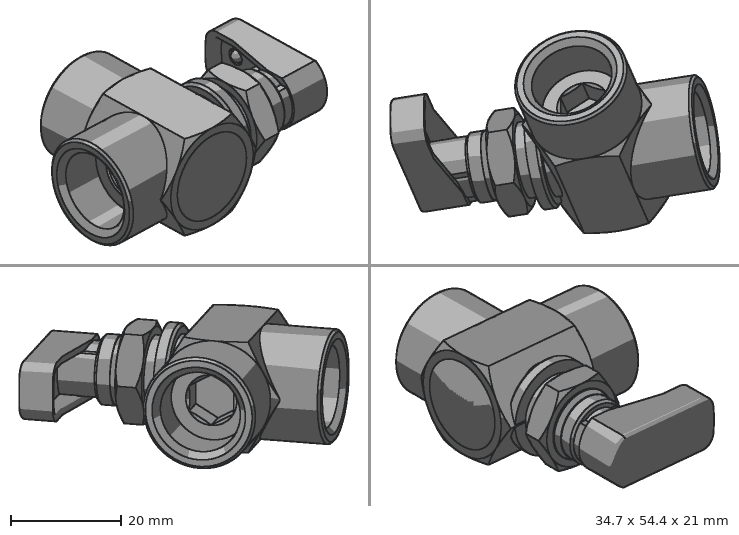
import cadquery as cq
import math


BLOCK_FLATS = 21.0
BLOCK_RADIUS = BLOCK_FLATS / 2
BLOCK_LEFT = -11.35
BLOCK_RIGHT = 11.55
CHAMFER_SLOPE = math.tan(math.radians(30))

SIDE_PORT_REACH = 22.5
FRONT_PORT_REACH = 19.55
PORT_EDGE_CHAMFER = 0.5
PORT_BORE_RADIUS = 7.5
PORT_MOUTH_RADIUS = 8.75
PORT_MOUTH_DEPTH = 1.1
PORT_DEPTH = 8.75
FRONT_HOLE_RADIUS = 4.55
FRONT_HOLE_CHAMFER = 0.3
SOCKET_FLATS = 8.25
SOCKET_DEPTH = 4.8

COLLAR_RADIUS = 7.5
FLANGE_RADIUS = 9.45
FLANGE_TOP = 12.0
FLANGE_BOTTOM = 9.5
FLANGE_CHAMFER = 0.55
NECK_RADIUS = 6.95
NECK_TOP = 21.0
NECK_TAPER_HEIGHT = 1.2
NECK_TIP_RADIUS = 6.3

PLUG_RADIUS = 8.8
PLUG_INNER_END = SOCKET_DEPTH + PORT_DEPTH - SIDE_PORT_REACH
PLUG_DOME_TIP = 12.2

NUT_FLATS = 17.0
NUT_BOTTOM = 14.45
NUT_THICKNESS = 5.0

GLAND_RADIUS = 6.5
GLAND_HEIGHT = 3.0
GLAND_TOP = NECK_TOP + GLAND_HEIGHT
GLAND_CHAMFER = 0.5

WING_RADIUS = 6.05
WING_THICKNESS = 8.15
HUB_RADIUS = 5.1
SHANK_RADIUS = 3.25
SHANK_END = FLANGE_TOP

HANDLE_TOP = 34.85
HANDLE_BOTTOM = 25.95
HANDLE_TIP_BOTTOM = 28.4
SLOPE_START = -0.4
SLOPE_END = -11.85
HANDLE_HALF_WIDTH = 5.55
HANDLE_HEAD_RADIUS = 6.5
HANDLE_TIP = -19.0
HANDLE_TIP_BOW_RADIUS = 26.1
HANDLE_TIP_CORNER = 3.0
HANDLE_TOP_FILLET = 0.8
HANDLE_WALL = 1.65
LIP_FILLET = 0.8
CAVITY_CEILING = 30.95

PIN_X = -13.7
PIN_RADIUS = 1.25
PIN_RECESS_RADIUS = 1.65
PIN_RECESS_DEPTH = 0.55


def turned_x(points):
    """Solid of revolution about X from (x, radius) points."""
    return cq.Workplane("XY").polyline(points).close().revolve(360, (0, 0, 0), (1, 0, 0))


def turned_y(points):
    """Solid of revolution about Y from (radius, y) points."""
    return cq.Workplane("XY").polyline(points).close().revolve(360, (0, 0, 0), (0, 1, 0))


def rod_y(radius, start, end):
    return turned_y([(0, start), (radius, start), (radius, end), (0, end)])


def hexagon(plane, flats):
    """Closed hexagon outline with the given width across flats, corners on the plane's local x."""
    return cq.Workplane(plane).polygon(6, flats / math.cos(math.radians(30)))


def chamfer_envelope(flats, start, end):
    """(station, radius) outline that chamfers both ends of a hexagon down to its flats."""
    inner = flats / 2
    outer = flats / math.sqrt(3)
    run = (outer - inner) * CHAMFER_SLOPE
    return [(start, 0), (start, inner), (start + run, outer), (end - run, outer), (end, inner), (end, 0)]


def swapped(points):
    return [(b, a) for a, b in points]


def port_outline(reach):
    """(station, radius) outline of a port tube from its mouth to the origin."""
    edge = PORT_EDGE_CHAMFER
    return [
        (-reach, 0),
        (-reach, BLOCK_RADIUS - edge),
        (-reach + edge, BLOCK_RADIUS),
        (0, BLOCK_RADIUS),
        (0, 0),
    ]


def port_bore_outline(reach):
    """(station, radius) outline of a port's countersunk bore."""
    return [
        (-reach, 0),
        (-reach, PORT_MOUTH_RADIUS),
        (-reach + PORT_MOUTH_DEPTH, PORT_BORE_RADIUS),
        (-reach + PORT_DEPTH, PORT_BORE_RADIUS),
        (-reach + PORT_DEPTH, 0),
    ]


def make_block():
    bar = hexagon("YZ", BLOCK_FLATS).extrude(BLOCK_RIGHT - BLOCK_LEFT).translate((BLOCK_LEFT, 0, 0))
    return bar.intersect(turned_x(chamfer_envelope(BLOCK_FLATS, BLOCK_LEFT, BLOCK_RIGHT)))


def make_neck():
    return turned_y([
        (0, 0),
        (COLLAR_RADIUS, 0),
        (COLLAR_RADIUS, FLANGE_BOTTOM),
        (FLANGE_RADIUS - FLANGE_CHAMFER, FLANGE_BOTTOM),
        (FLANGE_RADIUS, FLANGE_BOTTOM + FLANGE_CHAMFER),
        (FLANGE_RADIUS, FLANGE_TOP),
        (NECK_RADIUS, FLANGE_TOP),
        (NECK_RADIUS, NECK_TOP - NECK_TAPER_HEIGHT),
        (NECK_TIP_RADIUS, NECK_TOP),
        (0, NECK_TOP),
    ])


def make_socket():
    """Hexagonal hole from the side port's floor to the plug, corners facing +Z and -Z."""
    floor = PORT_DEPTH - SIDE_PORT_REACH
    corner = SOCKET_FLATS / math.sqrt(3)
    hole = hexagon("YZ", SOCKET_FLATS).extrude(SOCKET_DEPTH).rotate((0, 0, 0), (1, 0, 0), 90)
    countersink = turned_x([(floor, 0), (floor, corner), (floor + corner * CHAMFER_SLOPE, 0)])
    return hole.translate((floor, 0, 0)).union(countersink)


def make_front_hole():
    """Chamfered round hole from the front port's floor into the plug bore."""
    floor = PORT_DEPTH - FRONT_PORT_REACH
    return turned_y([
        (0, floor),
        (FRONT_HOLE_RADIUS + FRONT_HOLE_CHAMFER, floor),
        (FRONT_HOLE_RADIUS, floor + FRONT_HOLE_CHAMFER),
        (FRONT_HOLE_RADIUS, 0),
        (0, 0),
    ])


def make_housing():
    outside = (
        make_block()
        .union(turned_x(port_outline(SIDE_PORT_REACH)))
        .union(turned_y(swapped(port_outline(FRONT_PORT_REACH))))
        .union(make_neck())
    )
    plug_bore = turned_x([
        (PLUG_INNER_END, 0),
        (PLUG_INNER_END, PLUG_RADIUS),
        (BLOCK_RIGHT, PLUG_RADIUS),
        (BLOCK_RIGHT, 0),
    ])
    return (
        outside
        .cut(turned_x(port_bore_outline(SIDE_PORT_REACH)))
        .cut(turned_y(swapped(port_bore_outline(FRONT_PORT_REACH))))
        .cut(make_socket())
        .cut(make_front_hole())
        .cut(plug_bore)
        .cut(rod_y(SHANK_RADIUS, SHANK_END, NECK_TOP))
    )


def make_plug():
    """Cylinder whose +X end bulges out of the block as a shallow dome."""
    rise = PLUG_DOME_TIP - BLOCK_RIGHT
    dome_radius = (PLUG_RADIUS**2 + rise**2) / (2 * rise)
    half_radius = PLUG_RADIUS / 2
    half_way = PLUG_DOME_TIP - dome_radius + math.sqrt(dome_radius**2 - half_radius**2)
    return (
        cq.Workplane("XY")
        .moveTo(PLUG_INNER_END, 0)
        .lineTo(PLUG_INNER_END, PLUG_RADIUS)
        .lineTo(BLOCK_RIGHT, PLUG_RADIUS)
        .threePointArc((half_way, half_radius), (PLUG_DOME_TIP, 0))
        .close()
        .revolve(360, (0, 0, 0), (1, 0, 0))
    )


def make_nut():
    top = NUT_BOTTOM + NUT_THICKNESS
    prism = hexagon("XZ", NUT_FLATS).extrude(-NUT_THICKNESS).translate((0, NUT_BOTTOM, 0))
    chamfered = prism.intersect(turned_y(swapped(chamfer_envelope(NUT_FLATS, NUT_BOTTOM, top))))
    return chamfered.cut(rod_y(NECK_RADIUS, NUT_BOTTOM, top))


def make_gland():
    return turned_y([
        (SHANK_RADIUS, NECK_TOP),
        (GLAND_RADIUS, NECK_TOP),
        (GLAND_RADIUS, GLAND_TOP - GLAND_CHAMFER),
        (GLAND_RADIUS - GLAND_CHAMFER, GLAND_TOP),
        (SHANK_RADIUS, GLAND_TOP),
    ])


def make_hub():
    height = CAVITY_CEILING - GLAND_TOP
    slab = cq.Workplane("XY").box(2 * WING_RADIUS, height, WING_THICKNESS)
    slab = slab.translate((0, GLAND_TOP + height / 2, 0))
    wings = rod_y(WING_RADIUS, GLAND_TOP, CAVITY_CEILING).intersect(slab)
    return wings.union(rod_y(HUB_RADIUS, GLAND_TOP, CAVITY_CEILING))


def make_stem():
    return make_hub().union(rod_y(SHANK_RADIUS, SHANK_END, GLAND_TOP))


def lever_solid(inset, top):
    """Lever from its underside to a given top, its outline shrunk by an inset.

    Seen along Y it has a round head about the stem, straight sides and a bowed tip.
    """
    w = HANDLE_HALF_WIDTH - inset
    head_radius = HANDLE_HEAD_RADIUS - inset
    bow_radius = HANDLE_TIP_BOW_RADIUS - inset
    tip = HANDLE_TIP + inset
    head_x = math.sqrt(head_radius**2 - w**2)
    corner_x = tip + bow_radius - math.sqrt(bow_radius**2 - w**2)
    body = (
        cq.Workplane("XZ", origin=(0, HANDLE_BOTTOM, 0))
        .moveTo(corner_x, w)
        .lineTo(head_x, w)
        .threePointArc((head_radius, 0), (head_x, -w))
        .lineTo(corner_x, -w)
        .threePointArc((tip, 0), (corner_x, w))
        .close()
        .extrude(HANDLE_BOTTOM - top)
    )
    return body.edges("|Y").edges("<X").fillet(HANDLE_TIP_CORNER - inset)


def make_underside_cut():
    """Wedge that raises the underside toward the lever's tip."""
    return (
        cq.Workplane("XY")
        .polyline([
            (SLOPE_START, HANDLE_BOTTOM),
            (SLOPE_END, HANDLE_TIP_BOTTOM),
            (HANDLE_TIP, HANDLE_TIP_BOTTOM),
            (HANDLE_TIP, HANDLE_BOTTOM),
        ])
        .close()
        .extrude(HANDLE_HALF_WIDTH, both=True)
    )


def make_cavity():
    """Inside of the lever, from its tip wall to the stem axis."""
    inside = lever_solid(HANDLE_WALL, CAVITY_CEILING)
    tip_side = cq.Workplane("XY").box(-HANDLE_TIP, 2 * HANDLE_TOP, 2 * HANDLE_HALF_WIDTH)
    return inside.intersect(tip_side.translate((HANDLE_TIP / 2, 0, 0)))


def make_handle():
    shell = (
        lever_solid(0, HANDLE_TOP)
        .faces(">Y").edges().fillet(HANDLE_TOP_FILLET)
        .cut(make_underside_cut())
        .cut(make_cavity())
    )
    inner_limit = HANDLE_HALF_WIDTH - 0.75 * HANDLE_WALL
    lip_zone = cq.selectors.BoxSelector(
        (HANDLE_TIP + HANDLE_WALL / 2, HANDLE_BOTTOM, -inner_limit),
        (2 * SLOPE_START, HANDLE_TIP_BOTTOM + LIP_FILLET / 2, inner_limit),
    )
    shell = shell.edges(lip_zone).fillet(LIP_FILLET)
    recess = rod_y(PIN_RECESS_RADIUS, CAVITY_CEILING, CAVITY_CEILING + PIN_RECESS_DEPTH)
    return shell.cut(make_hub()).cut(recess.translate((PIN_X, 0, 0)))


def make_pin():
    """Half ball standing on the floor of the recess, facing -Y."""
    base = CAVITY_CEILING + PIN_RECESS_DEPTH
    ball = cq.Workplane("XY").sphere(PIN_RADIUS)
    lower_half = rod_y(PIN_RADIUS, -PIN_RADIUS, 0)
    return ball.intersect(lower_half).translate((PIN_X, base, 0))


housing = make_housing()
plug = make_plug()
nut = make_nut()
gland = make_gland()
stem = make_stem()
handle = make_handle()
pin = make_pin()

result = cq.Compound.makeCompound([
    housing.val(),
    plug.val(),
    nut.val(),
    gland.val(),
    stem.val(),
    handle.val(),
    pin.val(),
])